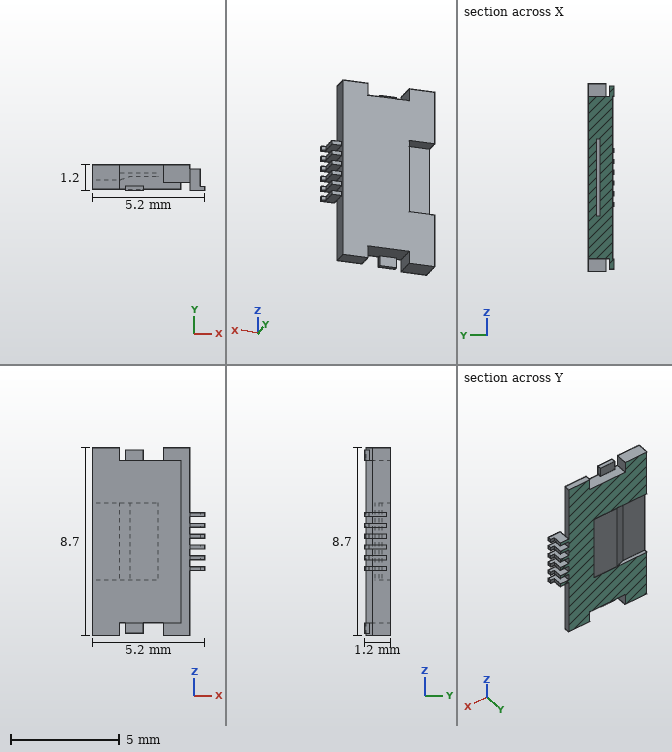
import cadquery as cq

length = 8.7
back_y = 1.2

bar_width = 1.26
front_y = 0.05
body_half_length = 3.76
body_end_x = 4.09

rear_start_x = 3.29
rear_end_x = 4.515
rear_front_y = 0.365

tab_start_x = 1.53
tab_end_x = 2.36
tab_thickness = 0.22
tab_half_length = 4.245

opening_length = 3.55
opening_front_y = 0.49
slot_front_y = 0.65
slot_back_y = 0.81
lead_in_end_x = 1.74
slot_end_x = 3.045

lead_count = 6
lead_pitch = 0.499
lead_width = 0.19
lead_back_y = 1.01
lead_stem_end_x = 4.99
lead_foot_thickness = 0.19
lead_tip_x = 5.2


def block(x_range, y_range, half_length):
    """Box spanning the given X and Y ranges, symmetric about Z = 0."""
    x0, x1 = x_range
    y0, y1 = y_range
    return cq.Workplane("XY").box(x1 - x0, y1 - y0, 2 * half_length).translate(
        ((x0 + x1) / 2, (y0 + y1) / 2, 0)
    )


def profile(points, height):
    """Prism of an XY outline, symmetric about Z = 0."""
    return cq.Workplane("XY").polyline(points).close().extrude(height / 2, both=True)


def housing():
    bar = block((0, bar_width), (front_y, back_y), length / 2)
    body = block((bar_width, body_end_x), (front_y, back_y), body_half_length)
    rear = block((rear_start_x, rear_end_x), (rear_front_y, back_y), length / 2)
    return bar.union(body).union(rear)


def solder_tabs():
    """End tabs, standing proud of the front face only beyond the body ends."""
    tabs = block((tab_start_x, tab_end_x), (0, tab_thickness), tab_half_length)
    between = block((tab_start_x, tab_end_x), (0, front_y), body_half_length)
    return tabs.cut(between)


def cable_opening():
    return profile(
        [
            (0, opening_front_y),
            (bar_width, opening_front_y),
            (lead_in_end_x, slot_front_y),
            (slot_end_x, slot_front_y),
            (slot_end_x, slot_back_y),
            (bar_width, slot_back_y),
            (bar_width, back_y),
            (0, back_y),
        ],
        opening_length,
    )


def lead(z):
    outline = [
        (rear_end_x, 0),
        (lead_tip_x, 0),
        (lead_tip_x, lead_foot_thickness),
        (lead_stem_end_x, lead_foot_thickness),
        (lead_stem_end_x, lead_back_y),
        (rear_end_x, lead_back_y),
    ]
    return profile(outline, lead_width).translate((0, 0, z))


result = housing().union(solder_tabs()).cut(cable_opening())
for index in range(lead_count):
    result = result.union(lead((index - (lead_count - 1) / 2) * lead_pitch))